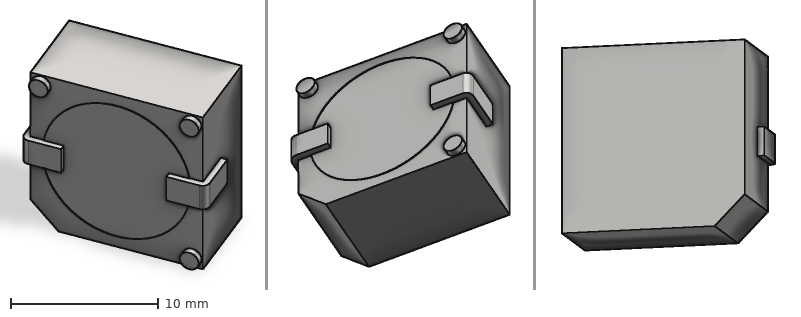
import cadquery as cq

overall_width = 13.8
overall_depth = 7.0

case_side = 12.8
case_chamfer = 2.1

terminal_thickness = (overall_width - case_side) / 2
terminal_height = 1.99
terminal_front_length = 3.0
terminal_side_length = 3.48
terminal_bend_radius = 0.55

peg_diameter = 1.4
peg_inset = 0.8

cover_diameter = 11.0
cover_height = 0.05

case_depth = overall_depth - terminal_thickness
half_side = case_side / 2


def make_case():
    lower_left_edge = cq.selectors.NearestToPointSelector((-half_side, case_depth / 2, -half_side))
    block = cq.Workplane("XY").box(case_side, case_depth, case_side).translate((0, case_depth / 2, 0))
    return block.edges(lower_left_edge).chamfer(case_chamfer)


def make_front_disc(diameter, height, x=0, z=0):
    """Disc standing out of the case front face; the XZ plane normal points to -Y."""
    return cq.Workplane("XZ").center(x, z).circle(diameter / 2).extrude(height)


def make_left_terminal():
    outer_x = -overall_width / 2
    front_y = -terminal_thickness
    side_end_y = front_y + terminal_side_length
    strap = (
        cq.Workplane("XY")
        .moveTo(outer_x, side_end_y)
        .lineTo(outer_x, front_y)
        .lineTo(outer_x + terminal_front_length, front_y)
        .lineTo(outer_x + terminal_front_length, 0)
        .lineTo(-half_side, 0)
        .lineTo(-half_side, side_end_y)
        .close()
        .extrude(terminal_height / 2, both=True)
    )
    outer_bend_edge = cq.selectors.NearestToPointSelector((outer_x, front_y, 0))
    return strap.edges(outer_bend_edge).fillet(terminal_bend_radius)


result = make_case()
result = result.union(make_front_disc(cover_diameter, cover_height))

peg_offset = half_side - peg_inset
for side_x, side_z in [(-1, 1), (1, 1), (1, -1)]:
    peg = make_front_disc(peg_diameter, terminal_thickness, side_x * peg_offset, side_z * peg_offset)
    result = result.union(peg)

left_terminal = make_left_terminal()
result = result.union(left_terminal).union(left_terminal.mirror("YZ"))